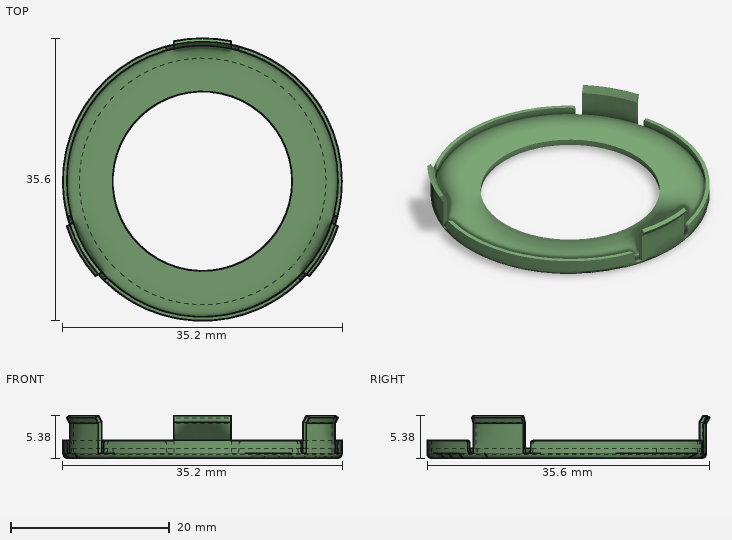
import cadquery as cq
import math

cup_diameter = 35.2
bore_diameter = 34.2
floor_opening_diameter = 31.1
wall_height = 2.25
bottom_round = 0.65
outer_radius = cup_diameter / 2
inner_radius = bore_diameter / 2
sheet_thickness = outer_radius - inner_radius

tab_count = 3
tab_spacing = 360 / tab_count
tab_width = 7.23
tab_height = 5.38
lip_length = 0.85
lip_angle = math.radians(30)

notch_width = 9.12
notch_floor = bottom_round
notch_round = 0.43

ring_bore_diameter = 22.6
ring_thickness = 0.8


def make_plain_cup():
    """Round shell with a flat floor, an opening and a rounded lower edge."""
    body = cq.Workplane("XY").circle(outer_radius).extrude(wall_height)
    body = body.faces("<Z").edges().fillet(bottom_round)
    bore = (
        cq.Workplane("XY").workplane(offset=sheet_thickness)
        .circle(inner_radius).extrude(wall_height)
    )
    opening = cq.Workplane("XY").circle(floor_opening_diameter / 2).extrude(wall_height)
    return body.cut(bore).cut(opening)


def make_notch():
    """Cutter at +Y, rounded at the notch floor and flared at the wall top."""
    half_width = notch_width / 2
    diagonal = notch_round * math.sqrt(0.5)
    floor_arc_z = notch_floor + notch_round
    top_arc_z = wall_height - notch_round
    return (
        cq.Workplane("XZ")
        .moveTo(-half_width + notch_round, notch_floor)
        .lineTo(half_width - notch_round, notch_floor)
        .threePointArc(
            (half_width - notch_round + diagonal, floor_arc_z - diagonal),
            (half_width, floor_arc_z),
        )
        .lineTo(half_width, top_arc_z)
        .threePointArc(
            (half_width + notch_round - diagonal, top_arc_z + diagonal),
            (half_width + notch_round, wall_height),
        )
        .lineTo(-half_width - notch_round, wall_height)
        .threePointArc(
            (-half_width - notch_round + diagonal, top_arc_z + diagonal),
            (-half_width, top_arc_z),
        )
        .lineTo(-half_width, floor_arc_z)
        .threePointArc(
            (-half_width + notch_round - diagonal, floor_arc_z - diagonal),
            (-half_width + notch_round, notch_floor),
        )
        .close()
        .extrude(-cup_diameter)
    )


def make_tab():
    """Curved tab at +Y with parallel sides and an outward-bent lip."""
    lip_run = lip_length * math.sin(lip_angle)
    lip_rise = lip_length * math.cos(lip_angle)
    tip_run = sheet_thickness * math.cos(lip_angle)
    tip_rise = sheet_thickness * math.sin(lip_angle)
    outer_bend_z = tab_height - tip_rise - lip_rise
    inner_bend_z = outer_bend_z + sheet_thickness * math.tan(lip_angle / 2)
    sleeve = (
        cq.Workplane("XZ")
        .moveTo(inner_radius, notch_floor)
        .lineTo(outer_radius, notch_floor)
        .lineTo(outer_radius, outer_bend_z)
        .lineTo(outer_radius + lip_run, outer_bend_z + lip_rise)
        .lineTo(outer_radius + lip_run - tip_run, tab_height)
        .lineTo(inner_radius, inner_bend_z)
        .close()
        .revolve(360, (0, 0), (0, 1))
    )
    strip = cq.Workplane("XY").box(
        tab_width, cup_diameter, tab_height, centered=(True, False, False)
    )
    return sleeve.intersect(strip)


def make_cup():
    """Cup with the notches and tabs repeated around its axis."""
    body = make_plain_cup()
    notch = make_notch()
    tab = make_tab()
    for index in range(tab_count):
        angle = index * tab_spacing
        body = body.cut(notch.rotate((0, 0, 0), (0, 0, 1), angle))
        body = body.union(tab.rotate((0, 0, 0), (0, 0, 1), angle))
    return body


def make_flat_ring():
    """Flat ring that fills the cup bore and rests on its floor."""
    return (
        cq.Workplane("XY").workplane(offset=sheet_thickness)
        .circle(inner_radius).circle(ring_bore_diameter / 2)
        .extrude(ring_thickness)
    )


cup = make_cup()
flat_ring = make_flat_ring()
result = cq.Compound.makeCompound([cup.solids().val(), flat_ring.val()])